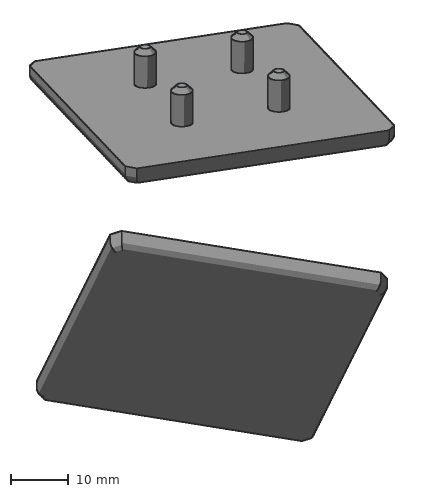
import cadquery as cq

plate_side = 50.0
plate_thickness = 3.5
corner_cut = 1.6
bottom_edge_radius = 2.0

pin_pitch = 18.0
pin_diameter = 3.8
pin_height = 7.0
pin_tip_diameter = 1.8
pin_tip_height = 1.0


def make_plate():
    """Square plate with cut corners and a rounded bottom edge."""
    block = cq.Workplane("XY").box(
        plate_side, plate_side, plate_thickness, centered=(True, True, False)
    )
    return block.edges("|Z").chamfer(corner_cut).faces("<Z").edges().fillet(bottom_edge_radius)


def make_pin():
    """Round pin with a conical tip, standing on Z = 0."""
    radius = pin_diameter / 2
    profile = [
        (0, 0),
        (radius, 0),
        (radius, pin_height - pin_tip_height),
        (pin_tip_diameter / 2, pin_height),
        (0, pin_height),
    ]
    return cq.Workplane("XZ").polyline(profile).close().revolve(360, (0, 0), (0, 1))


result = make_plate()
pin = make_pin()
for x_side in (-1, 1):
    for y_side in (-1, 1):
        pin_base = (x_side * pin_pitch / 2, y_side * pin_pitch / 2, plate_thickness)
        result = result.union(pin.translate(pin_base))